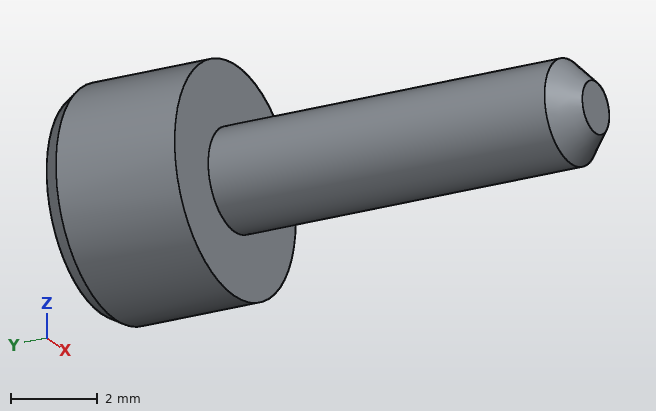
import cadquery as cq

head_diameter = 5.74
head_length = 3.505
head_chamfer_length = 0.37
head_chamfer_depth = 0.215

shank_diameter = 2.56
shank_length = 9.525
tip_chamfer = 0.64

head_radius = head_diameter / 2
shank_radius = shank_diameter / 2


def make_profile():
    """Half section in the XY plane, from the tip up to the top of the head."""
    return (
        cq.Workplane("XY")
        .moveTo(0, -shank_length)
        .lineTo(shank_radius - tip_chamfer, -shank_length)
        .lineTo(shank_radius, -shank_length + tip_chamfer)
        .lineTo(shank_radius, 0)
        .lineTo(head_radius, 0)
        .lineTo(head_radius, head_length - head_chamfer_length)
        .lineTo(head_radius - head_chamfer_depth, head_length)
        .lineTo(0, head_length)
        .close()
    )


result = make_profile().revolve(360, (0, 0, 0), (0, 1, 0))